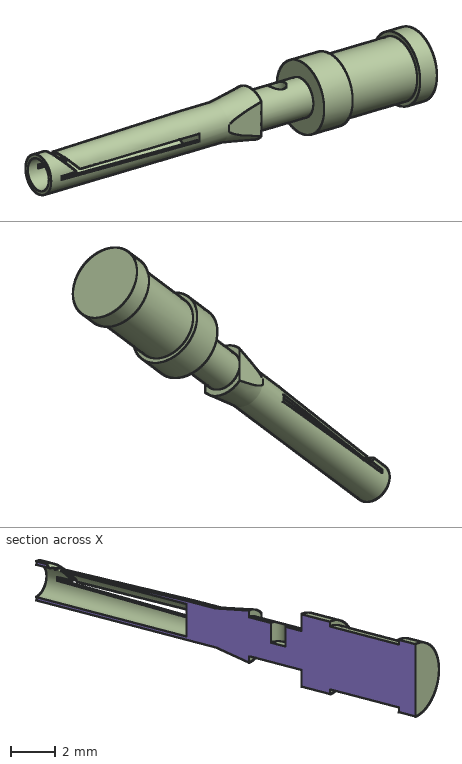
import cadquery as cq

length = 21.5
collar_radius = 3.53 / 2
barrel_radius = 3.07 / 2
shaft_radius = 1.91 / 2
bore_radius = 1.55 / 2

rim_front = 20.53
collar_rear = 16.66
collar_front = 15.03

cone_rear = 12.06
cone_front = 10.2
cone_radius = 2.54 / 2
cone_flat_width = 1.9

hole_radius = 0.82 / 2
hole_position = 13.72

tongue_root = 8.51
tongue_tip = 1.03
tongue_tip_radius = 0.82
slot_front = 0.6
slot_root_top = 0.17
slot_root_bottom = -0.22
slot_tip_half_height = 0.09
slit_width = 0.3
slit_front = slot_front + shaft_radius

cut_clearance = 0.22


def make_turned_body():
    """Revolve the stepped barrel, shaft and locking cone about Y."""
    profile = [
        (0, 0),
        (shaft_radius, 0),
        (shaft_radius, cone_front),
        (cone_radius, cone_rear),
        (shaft_radius, cone_rear),
        (shaft_radius, collar_front),
        (collar_radius, collar_front),
        (collar_radius, collar_rear),
        (barrel_radius, collar_rear),
        (barrel_radius, rim_front),
        (collar_radius, rim_front),
        (collar_radius, length),
        (0, length),
    ]
    return cq.Workplane("XY").polyline(profile).close().revolve(360, (0, 0, 0), (0, 1, 0))


def make_cone_flat(side):
    """Block that trims the locking cone on one side (-1 or +1)."""
    depth = cone_radius
    center_x = side * (cone_flat_width + depth) / 2
    center_y = (cone_front + cone_rear) / 2
    block = cq.Workplane("XY").box(depth, cone_rear - cone_front, 2 * cone_radius)
    return block.translate((center_x, center_y, 0))


def cut_through_x(points):
    """Prism of a YZ outline running across the whole shaft."""
    return cq.Workplane("YZ").polyline(points).close().extrude(shaft_radius + cut_clearance, both=True)


def make_tongue_relief():
    """Ring wedge that tapers the upper half of the shaft towards the slit."""
    taper = (shaft_radius - tongue_tip_radius) / (tongue_root - tongue_tip)
    radius_at_front = shaft_radius - taper * tongue_root
    outer_radius = shaft_radius + cut_clearance
    ring = (
        cq.Workplane("XY")
        .polyline([
            (radius_at_front, 0),
            (outer_radius, 0),
            (outer_radius, tongue_root),
            (shaft_radius, tongue_root),
        ])
        .close()
        .revolve(360, (0, 0, 0), (0, 1, 0))
    )
    tongue_region = cut_through_x([
        (slit_front, 0),
        (tongue_root, 0),
        (tongue_root, outer_radius),
        (slit_front - outer_radius, outer_radius),
    ])
    return ring.intersect(tongue_region)


def make_slot():
    return cut_through_x([
        (slot_front, -slot_tip_half_height),
        (slot_front, slot_tip_half_height),
        (tongue_root, slot_root_top),
        (tongue_root, slot_root_bottom),
    ])


def make_slit():
    top = shaft_radius + cut_clearance
    return cut_through_x([
        (slit_front, 0),
        (slit_front + slit_width, 0),
        (slit_front + slit_width - top, top),
        (slit_front - top, top),
    ])


bore = cq.Workplane("XZ").circle(bore_radius).extrude(-tongue_root)
inspection_hole = (
    cq.Workplane("XY").center(0, hole_position).circle(hole_radius).extrude(collar_radius)
)

result = make_turned_body()
for side in (-1, 1):
    result = result.cut(make_cone_flat(side))
result = result.cut(make_tongue_relief())
result = result.cut(bore)
result = result.cut(make_slot())
result = result.cut(make_slit())
result = result.cut(inspection_hole)